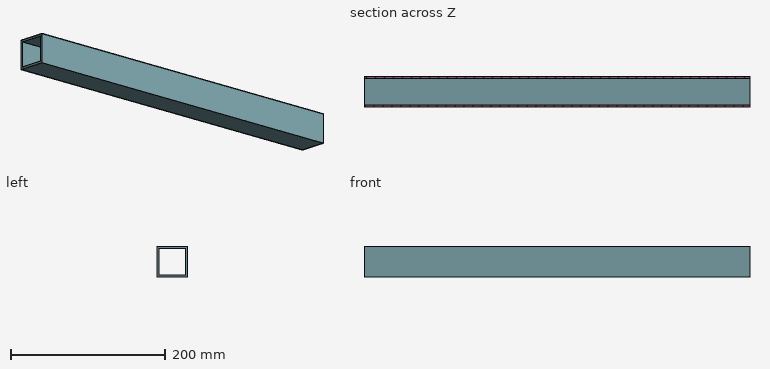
import cadquery as cq

LENGTH = 500.0
OUTER_SIDE = 40.0
WALL = 3.0

INNER_SIDE = OUTER_SIDE - 2 * WALL


def square_tube():
    """Square hollow section with sharp corners, centred on the X axis."""
    return (
        cq.Workplane("YZ")
        .rect(OUTER_SIDE, OUTER_SIDE)
        .rect(INNER_SIDE, INNER_SIDE)
        .extrude(LENGTH / 2, both=True)
    )


result = square_tube()